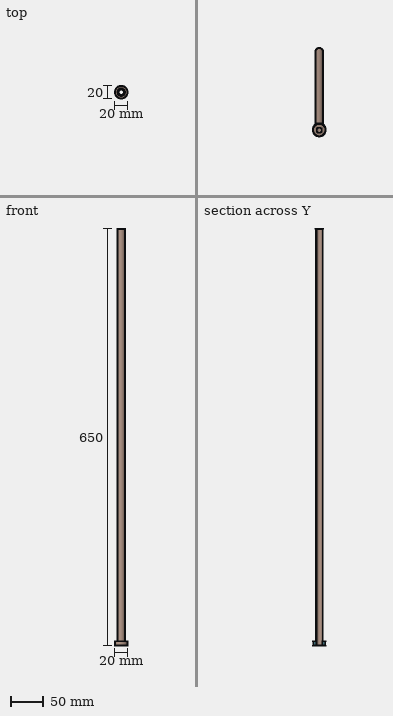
import cadquery as cq

total_length = 650.0
head_diameter = 20.0
head_height = 7.0
sleeve_diameter = 12.0
bore_diameter = 8.4
neck_fillet_radius = 0.5


def make_head():
    """Round collar standing on the Z = 0 plane."""
    return cq.Workplane("XY").circle(head_diameter / 2).extrude(head_height)


def make_sleeve():
    """Long cylindrical shank, running the full length of the part."""
    return cq.Workplane("XY").circle(sleeve_diameter / 2).extrude(total_length)


def make_neck_fillet():
    """Solid disc whose concave rim blends the sleeve into the top of the head."""
    sleeve_radius = sleeve_diameter / 2
    foot_radius = sleeve_radius + neck_fillet_radius
    fillet_top = head_height + neck_fillet_radius
    return (
        cq.Workplane("XZ")
        .moveTo(0, head_height)
        .lineTo(foot_radius, head_height)
        .radiusArc((sleeve_radius, fillet_top), neck_fillet_radius)
        .lineTo(0, fillet_top)
        .close()
        .revolve(360, (0, 0, 0), (0, 1, 0))
    )


def make_bore():
    """Axial hole through the whole part."""
    return cq.Workplane("XY").circle(bore_diameter / 2).extrude(total_length)


result = make_head().union(make_sleeve()).union(make_neck_fillet()).cut(make_bore())